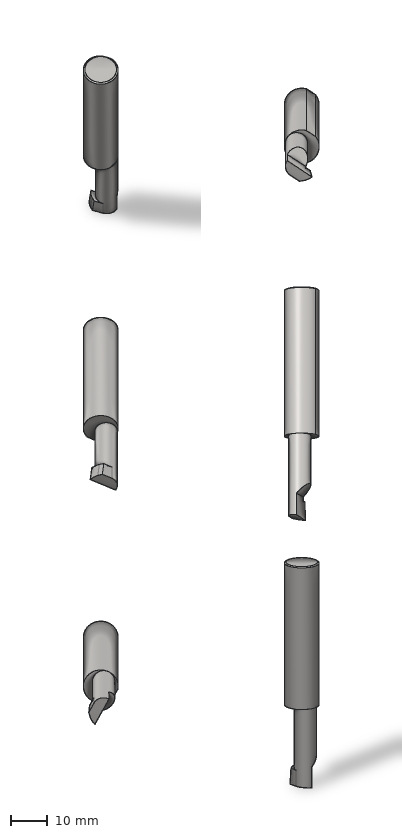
import cadquery as cq
import math

total_length = 63.5
shank_diameter = 9.5
shank_radius = shank_diameter / 2
shank_bottom = 22.85
shank_flat_y = 4.5
chamfer_radial = 0.45
chamfer_height = 0.25

neck_diameter = 6.1
neck_radius = neck_diameter / 2
neck_x = shank_radius - neck_radius

relief_floor_z = 6.2
relief_slope = 45.0

head_top = 5.1
tip_top_x = -2.85
flank_middle_x = -1.7
flank_middle_y = -2.15
flank_back_x = -0.8
flank_radius = 5.1
head_lean = 0.5

end_rise_x = 2.0
end_rise_y = 6.0


def make_shank():
    """Round shank with a chamfered top and a flat along its +Y side."""
    shank = (
        cq.Workplane("XY")
        .workplane(offset=shank_bottom)
        .circle(shank_radius)
        .extrude(total_length - shank_bottom)
        .faces(">Z")
        .edges()
        .chamfer(chamfer_height, chamfer_radial)
    )
    flat_depth = shank_radius - shank_flat_y
    waste = (
        cq.Workplane("XY")
        .box(shank_diameter, flat_depth, total_length, centered=(True, False, False))
        .translate((0, shank_flat_y, 0))
    )
    return shank.cut(waste)


def make_neck():
    """Offset neck, cut back to its mid plane at the lower end."""
    neck = cq.Workplane("XY").center(neck_x, 0).circle(neck_radius).extrude(shank_bottom)
    relief_top_z = relief_floor_z + neck_radius * math.tan(math.radians(relief_slope))
    relief = (
        cq.Workplane("YZ")
        .polyline([
            (0, 0),
            (0, relief_floor_z),
            (neck_radius, relief_top_z),
            (neck_radius, 0),
        ])
        .close()
        .extrude(shank_diameter, both=True)
    )
    return neck.cut(relief)


def add_head_outline(plan, lean):
    """Draw the head outline on plan, with its flank moved toward -X by lean."""
    return (
        plan.moveTo(neck_x, 0)
        .lineTo(neck_x, -neck_radius)
        .lineTo(flank_back_x - lean, -neck_radius)
        .lineTo(flank_middle_x - lean, flank_middle_y)
        .radiusArc((tip_top_x - lean, 0), flank_radius)
        .close()
    )


def make_head():
    """Cutting head whose flank leans outward from its top to the tip."""
    lower = add_head_outline(cq.Workplane("XY"), head_lean)
    both = add_head_outline(lower.workplane(offset=head_top, origin=(0, 0, 0)), 0)
    return both.loft(ruled=True)


def make_end_waste():
    """Material below the lower end face, which rises from the tip toward +X and -Y."""
    slope_x = math.tan(math.radians(end_rise_x))
    slope_y = math.tan(math.radians(end_rise_y))
    end_plane = cq.Plane(
        origin=(tip_top_x - head_lean, 0, 0),
        xDir=(1, 0, slope_x),
        normal=(-slope_x, slope_y, 1),
    )
    waste_width = 4 * shank_diameter
    return cq.Workplane(end_plane).rect(waste_width, waste_width).extrude(-head_top)


result = make_shank().union(make_neck()).union(make_head()).cut(make_end_waste())